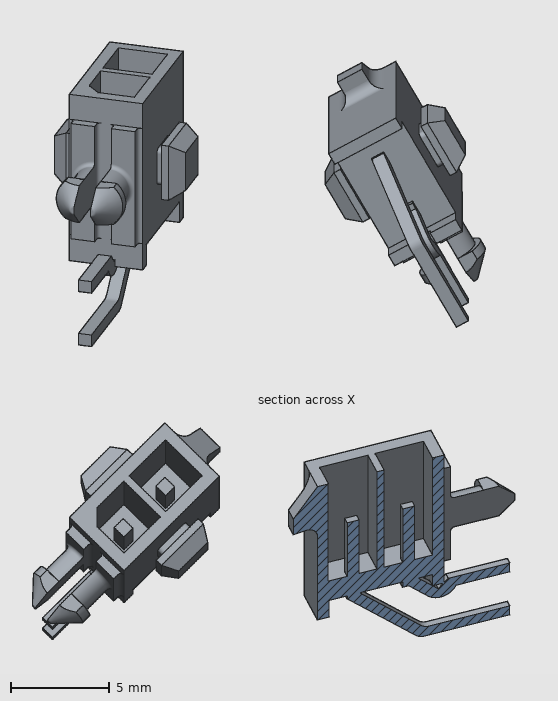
import cadquery as cq
import math


width = 3.92
depth = 6.88
height = 9.27
foot_height = 1.15
foot_thickness = 0.65
notch_width = 0.95
notch_height = 0.37
mid_y = depth / 2
peg_z = 4.68

row_pitch = 3.01
row_ys = (mid_y - row_pitch / 2, mid_y + row_pitch / 2)
cavity_size = 2.62
cavity_shift = 0.02
cavity_depth = 6.73
key_chamfer = 0.69

latch_width = 1.43
latch_reach = 1.31
latch_drop = 1.84
latch_bottom = 2.94
latch_under_rise = 0.07
latch_radius = 0.59

side_shank = 2.03
side_shank_radius = 0.26
side_shank_end = 2.35
side_head = 3.02
side_head_tip = 2.1
side_bevel_start = 2.73
side_end = 3.5

slot_half = 0.44
rib_outer = 1.71
rib_reach = 0.5
rib_bottom = 1.47
rib_height = 6.41
rib_fillet = 0.18

shaft_radius = 1.02
shaft_fillet = 0.22
head_radius = 1.33
head_half_height = 1.03
head_start = 2.28
cone_start = 2.79
peg_end = 3.99
peg_tip_radius = 0.22
peg_tip_fillet = 0.16

lead_width = 0.7
lead_thickness = 0.65
lead_tip_y = -3.55
pin_top = 6.24
rear_lead_bottom = height - 12.24
rear_diagonal = 4.32
bend_radius = 0.65
shoulder_z = 0.78
dip_y = 0.21
dip_z = 0.38
dip_radius = 0.93
dip_exit_y = -0.21


def box(x0, x1, y0, y1, z0, z1):
    """Block between opposite corners."""
    return cq.Workplane("XY").box(x1 - x0, y1 - y0, z1 - z0, centered=False).translate((x0, y0, z0))


def make_housing():
    half = width / 2
    body = box(-half, half, 0, depth, 0, height)
    body = body.cut(box(-half, half, foot_thickness, depth - foot_thickness, 0, foot_height))
    body = body.cut(box(-notch_width / 2, notch_width / 2, 0, foot_thickness, 0, notch_height))
    for row_y in row_ys:
        cavity = (
            cq.Workplane("XY", origin=(0, row_y + cavity_shift, height - cavity_depth))
            .rect(cavity_size, cavity_size)
            .extrude(cavity_depth)
        )
        if row_y == row_ys[0]:
            cavity = cavity.edges("|Z and <X and <Y").chamfer(key_chamfer)
        body = body.cut(cavity)
    return body


def make_latch():
    """Side outline crossed with a plan outline that flares into the back face."""
    half = latch_width / 2
    flare = half + latch_radius
    back = depth + latch_reach
    arc_end = depth + latch_radius
    nook = latch_radius * (1 - math.sqrt(0.5))
    under_z = height - latch_bottom + latch_under_rise
    side = (
        cq.Workplane("YZ")
        .moveTo(depth, height)
        .lineTo(back, height - latch_drop)
        .lineTo(back, height - latch_bottom)
        .lineTo(arc_end, under_z)
        .threePointArc((depth + nook, under_z - nook), (depth, under_z - latch_radius))
        .close()
        .extrude(flare, both=True)
    )
    plan = (
        cq.Workplane("XY")
        .moveTo(-flare, depth)
        .threePointArc((-half - nook, depth + nook), (-half, arc_end))
        .lineTo(-half, back)
        .lineTo(half, back)
        .lineTo(half, arc_end)
        .threePointArc((half + nook, depth + nook), (flare, depth))
        .close()
        .extrude(height)
    )
    return side.intersect(plan)


def make_side_peg():
    """Peg on the +X side: rounded square shank and a bevelled square head."""
    def section(x):
        return cq.Workplane("YZ", origin=(x, mid_y, peg_z))

    shank = (
        section(width / 2)
        .rect(side_shank, side_shank)
        .extrude(side_shank_end - width / 2)
        .edges("|X")
        .fillet(side_shank_radius)
    )
    plate = section(side_shank_end).rect(side_head, side_head).extrude(side_bevel_start - side_shank_end)
    bevel = (
        section(side_bevel_start)
        .rect(side_head, side_head)
        .workplane(offset=side_end - side_bevel_start)
        .rect(side_head_tip, side_head_tip)
        .loft(ruled=True)
    )
    return shank.union(plate).union(bevel)


def make_rib():
    """Rib on the +X side with concave fillets along both edges at the front face."""
    nook = rib_fillet * (1 - math.sqrt(0.5))
    return (
        cq.Workplane("XY", origin=(0, 0, rib_bottom))
        .moveTo(slot_half - rib_fillet, 0)
        .threePointArc((slot_half - nook, -nook), (slot_half, -rib_fillet))
        .lineTo(slot_half, -rib_reach)
        .lineTo(rib_outer, -rib_reach)
        .lineTo(rib_outer, -rib_fillet)
        .threePointArc((rib_outer + nook, -nook), (rib_outer + rib_fillet, 0))
        .close()
        .extrude(rib_height)
    )


def make_peg_half():
    """Half-round snap peg on the +X rib, its head flattened above and below."""
    nook = shaft_fillet * (1 - math.sqrt(0.5))
    shaft = (
        cq.Workplane("XY")
        .moveTo(0, -rib_reach)
        .lineTo(shaft_radius + shaft_fillet, -rib_reach)
        .threePointArc((shaft_radius + nook, -rib_reach - nook), (shaft_radius, -rib_reach - shaft_fillet))
        .lineTo(shaft_radius, -head_start)
        .lineTo(0, -head_start)
        .close()
        .revolve(360, (0, 0), (0, 1))
    )
    head = (
        cq.Workplane("XY")
        .moveTo(0, -head_start)
        .lineTo(head_radius, -head_start)
        .lineTo(head_radius, -cone_start)
        .lineTo(peg_tip_radius, -peg_end)
        .lineTo(0, -peg_end)
        .close()
        .revolve(360, (0, 0), (0, 1))
        .faces("<Y")
        .edges()
        .fillet(peg_tip_fillet)
    )
    flats = box(-head_radius, head_radius, -peg_end, -head_start, -head_half_height, head_half_height)
    outer_side = box(0, width, -peg_end, 0, -width, width)
    return shaft.union(head.intersect(flats)).intersect(outer_side).translate((slot_half, 0, peg_z))


def make_rear_lead():
    front_y = row_ys[1] - lead_thickness / 2
    back_y = row_ys[1] + lead_thickness / 2
    upper_diagonal = rear_diagonal - lead_thickness * math.sqrt(2)
    level_top = rear_lead_bottom + lead_thickness
    outer_bend = (rear_lead_bottom + rear_diagonal, rear_lead_bottom)
    inner_bend = (level_top + upper_diagonal, level_top)
    lead = (
        cq.Workplane("YZ")
        .polyline([
            (back_y, pin_top),
            (back_y, back_y - rear_diagonal),
            outer_bend,
            (lead_tip_y, rear_lead_bottom),
            (lead_tip_y, level_top),
            inner_bend,
            (front_y, front_y - upper_diagonal),
            (front_y, pin_top),
        ])
        .close()
        .extrude(lead_width / 2, both=True)
    )
    for bend_y, bend_z in (outer_bend, inner_bend):
        bend_edge = cq.selectors.NearestToPointSelector((0, bend_y, bend_z))
        lead = lead.edges(bend_edge).fillet(bend_radius)
    return lead


def make_front_lead():
    front_y = row_ys[0] - lead_thickness / 2
    back_y = row_ys[0] + lead_thickness / 2
    tangent = dip_radius * math.sqrt(0.5)
    lower_diagonal = dip_y - dip_z + 2 * tangent
    upper_diagonal = lower_diagonal - lead_thickness * math.sqrt(2)
    rise_sum = dip_exit_y + lead_thickness
    dip_exit_bottom = dip_y - math.sqrt(dip_radius**2 - dip_z**2)
    return (
        cq.Workplane("YZ")
        .moveTo(back_y, pin_top)
        .lineTo(back_y, shoulder_z)
        .lineTo(shoulder_z + lower_diagonal, shoulder_z)
        .lineTo(dip_y + tangent, dip_z - tangent)
        .threePointArc((dip_y, dip_z - dip_radius), (dip_exit_bottom, 0))
        .lineTo(lead_tip_y, 0)
        .lineTo(lead_tip_y, lead_thickness)
        .lineTo(dip_exit_y, lead_thickness)
        .lineTo((rise_sum + upper_diagonal) / 2, (rise_sum - upper_diagonal) / 2)
        .lineTo(front_y, front_y - upper_diagonal)
        .lineTo(front_y, pin_top)
        .close()
        .extrude(lead_width / 2, both=True)
    )


result = make_housing().union(make_latch())
for feature in (make_side_peg(), make_rib(), make_peg_half()):
    result = result.union(feature).union(feature.mirror("YZ"))
result = result.union(make_rear_lead()).union(make_front_lead())